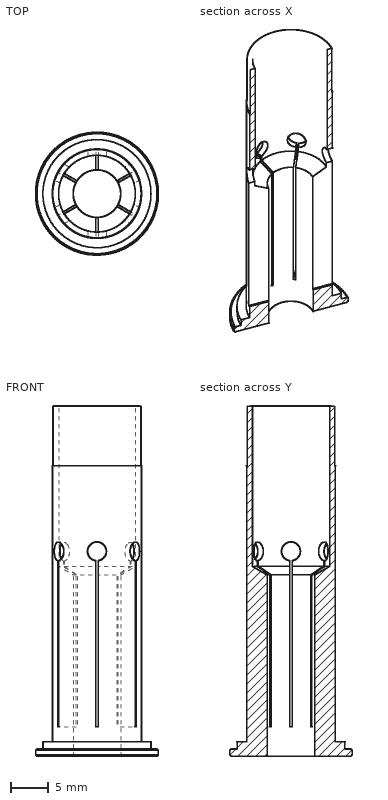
import math

import cadquery as cq

total_height = 47.0
body_diameter = 12.0
spigot_diameter = 11.85
spigot_length = 8.0
spigot_base_z = total_height - spigot_length
rim_fillet = 0.2

flange_diameter = 16.5
flange_thickness = 1.0
flange_chamfer = 0.2
collar_diameter = 14.5
collar_top_z = 2.0

throat_diameter = 6.35
bore_diameter = 10.3
cone_included_angle = 120.0
cone_height = (bore_diameter - throat_diameter) / 2 / math.tan(math.radians(cone_included_angle / 2))
cone_top_z = 25.5
throat_top_z = cone_top_z - cone_height

slot_count = 6
slot_width = 0.3
slot_bottom_z = 4.0
relief_diameter = 2.5
relief_z = 27.5
first_slot_angle = 90.0
cutter_reach = flange_diameter / 2


def make_cylinder(diameter, height):
    """Upright cylinder on the sleeve axis, standing on the base plane."""
    return cq.Workplane("XY").circle(diameter / 2).extrude(height)


def make_outside():
    """Solid outer form: chamfered flange, collar, body and spigot."""
    flange = make_cylinder(flange_diameter, flange_thickness).edges().chamfer(flange_chamfer)
    collar = make_cylinder(collar_diameter, collar_top_z)
    body = make_cylinder(body_diameter, spigot_base_z)
    spigot = make_cylinder(spigot_diameter, total_height)
    return flange.union(collar).union(body).union(spigot)


def make_bore():
    """Revolved cutter for the throat, cone and wide bore."""
    throat_radius = throat_diameter / 2
    bore_radius = bore_diameter / 2
    return (
        cq.Workplane("XZ")
        .moveTo(0, 0)
        .lineTo(throat_radius, 0)
        .lineTo(throat_radius, throat_top_z)
        .lineTo(bore_radius, cone_top_z)
        .lineTo(bore_radius, total_height)
        .lineTo(0, total_height)
        .close()
        .revolve(360, (0, 0, 0), (0, 1, 0))
    )


def make_slot_cutter(angle):
    """Radial slot with its relief hole, turned about Z from the +X direction."""
    slot_height = relief_z - slot_bottom_z
    slot = (
        cq.Workplane("XY")
        .workplane(offset=slot_bottom_z)
        .box(cutter_reach, slot_width, slot_height, centered=(False, True, False))
    )
    relief = cq.Workplane("YZ").center(0, relief_z).circle(relief_diameter / 2).extrude(cutter_reach)
    return slot.union(relief).rotate((0, 0, 0), (0, 0, 1), angle)


result = make_outside().cut(make_bore())
result = result.faces(">Z").edges().fillet(rim_fillet)

for index in range(slot_count):
    result = result.cut(make_slot_cutter(first_slot_angle + index * 360 / slot_count))